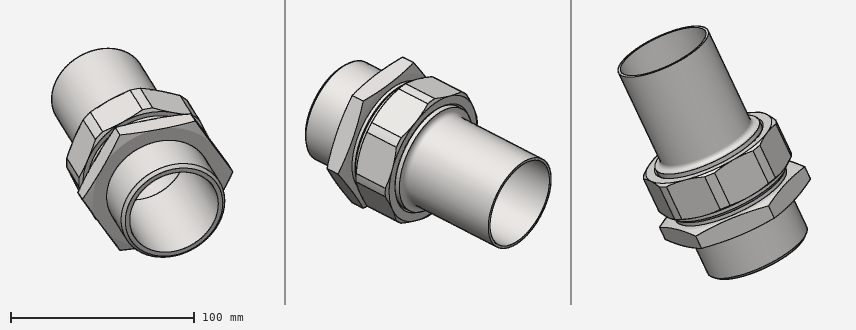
import cadquery as cq
import math

total_length = 128.0
bore_radius = 51.0 / 2

pipe_radius = 54.0 / 2
pipe_end_x = 56.2
flare_radius = 3.0
collar_radius = 62.5 / 2
collar_start_x = pipe_end_x + flare_radius
joint_x = 73.0

nut_start_x = 61.2
nut_end_x = 84.2
nut_across_flats = 75.0
nut_corner_radius = 79.0 / 2
nut_chamfer_angle = 30.0
nut_bore_radius = 62.6 / 2
nut_countersink_radius = 64.8 / 2

spigot_radius = 69.6 / 2
spigot_end_x = 87.2
neck_radius = 66.4 / 2
hex_start_x = 90.9
hex_end_x = 101.8
hex_across_flats = 75.0
hex_chamfer_angle = 15.0
male_end_radius = 59.6 / 2
male_tip_radius = 56.0 / 2


def revolve_about_x(profile):
    """Turn a closed (x, radius) profile around the X axis."""
    return profile.close().revolve(360, (0, 0, 0), (1, 0, 0))


def chamfered_prism(sides, start_x, end_x, across_flats, corner_radius, chamfer_angle):
    """Prism with a corner on +Y, its corners cut to corner_radius and both ends coned off."""
    flat_radius = across_flats / 2
    sharp_corner_diameter = across_flats / math.cos(math.pi / sides)
    prism = (
        cq.Workplane("YZ", origin=(start_x, 0, 0))
        .polygon(sides, sharp_corner_diameter)
        .extrude(end_x - start_x)
    )
    chamfer_length = (corner_radius - flat_radius) * math.tan(math.radians(chamfer_angle))
    envelope = revolve_about_x(
        cq.Workplane("XY")
        .moveTo(start_x, 0)
        .lineTo(start_x, flat_radius)
        .lineTo(start_x + chamfer_length, corner_radius)
        .lineTo(end_x - chamfer_length, corner_radius)
        .lineTo(end_x, flat_radius)
        .lineTo(end_x, 0)
    )
    return prism.intersect(envelope)


def make_tailpiece():
    arc_offset = flare_radius * math.sin(math.radians(45))
    flare_center_radius = pipe_radius + flare_radius
    return revolve_about_x(
        cq.Workplane("XY")
        .moveTo(0, bore_radius)
        .lineTo(0, pipe_radius)
        .lineTo(pipe_end_x, pipe_radius)
        .threePointArc(
            (pipe_end_x + arc_offset, flare_center_radius - arc_offset),
            (collar_start_x, flare_center_radius),
        )
        .lineTo(collar_start_x, collar_radius)
        .lineTo(joint_x, collar_radius)
        .lineTo(joint_x, bore_radius)
    )


def make_nut():
    blank = chamfered_prism(
        8, nut_start_x, nut_end_x, nut_across_flats, nut_corner_radius, nut_chamfer_angle
    )
    countersink_depth = nut_countersink_radius - nut_bore_radius
    opening = revolve_about_x(
        cq.Workplane("XY")
        .moveTo(nut_start_x, 0)
        .lineTo(nut_start_x, nut_countersink_radius)
        .lineTo(nut_start_x + countersink_depth, nut_bore_radius)
        .lineTo(joint_x, nut_bore_radius)
        .lineTo(joint_x, spigot_radius)
        .lineTo(nut_end_x, spigot_radius)
        .lineTo(nut_end_x, 0)
    )
    return blank.cut(opening)


def make_body():
    spigot_chamfer = spigot_radius - neck_radius
    tip_chamfer = male_end_radius - male_tip_radius
    turned = revolve_about_x(
        cq.Workplane("XY")
        .moveTo(joint_x, bore_radius)
        .lineTo(joint_x, spigot_radius)
        .lineTo(spigot_end_x, spigot_radius)
        .lineTo(spigot_end_x + spigot_chamfer, neck_radius)
        .lineTo(hex_start_x, neck_radius)
        .lineTo(hex_start_x, male_end_radius)
        .lineTo(total_length - tip_chamfer, male_end_radius)
        .lineTo(total_length, male_tip_radius)
        .lineTo(total_length, bore_radius)
    )
    hex_corner_radius = hex_across_flats / 2 / math.cos(math.pi / 6)
    hexagon = chamfered_prism(
        6, hex_start_x, hex_end_x, hex_across_flats, hex_corner_radius, hex_chamfer_angle
    )
    bore = cq.Workplane("YZ").circle(bore_radius).extrude(total_length)
    return turned.union(hexagon.cut(bore))


tailpiece = make_tailpiece()
nut = make_nut()
body = make_body()

result = cq.Compound.makeCompound([tailpiece.val(), nut.val(), body.val()])